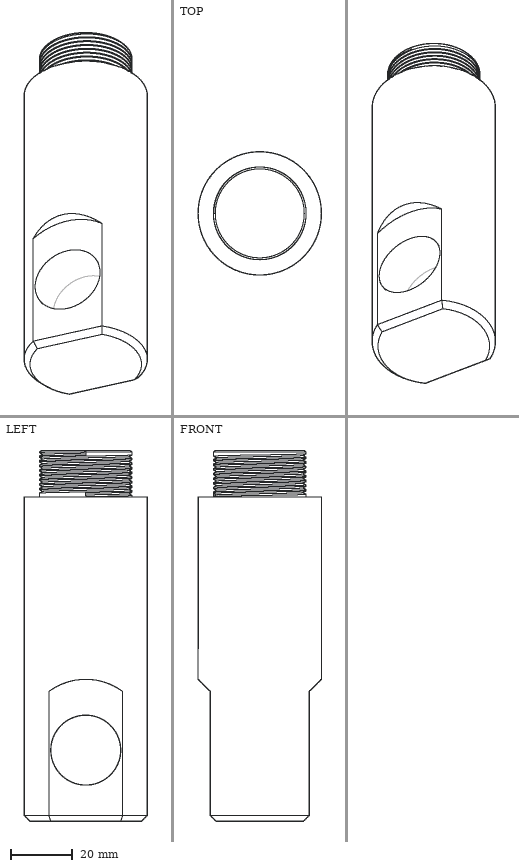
import cadquery as cq
import math

total_height = 120.0
body_diameter = 40.0
body_radius = body_diameter / 2

stud_height = 15.0
thread_diameter = 30.0
thread_pitch = 1.5
thread_depth = 1.0
thread_flank_angle = 60.0
stud_chamfer = 0.6
first_groove_height = 0.6
cutter_overlap = 0.1

flats_width = 32.0
flat_apex_height = 46.0
eye_diameter = 22.5
eye_height = 23.0
bottom_chamfer = 1.9

shoulder_height = total_height - stud_height
thread_radius = thread_diameter / 2


def make_body():
    """Cylinder with two opposite flats, round-topped, and a chamfered bottom edge."""
    body = cq.Workplane("XY").circle(body_radius).extrude(shoulder_height)
    half_flat = math.sqrt(body_radius**2 - (flats_width / 2) ** 2)
    arc_center_height = flat_apex_height - body_radius
    flat_corner_height = arc_center_height + flats_width / 2
    flat_depth = (body_diameter - flats_width) / 2
    flat_outline = (
        cq.Workplane("YZ", origin=(flats_width / 2, 0, 0))
        .moveTo(-half_flat, 0)
        .lineTo(-half_flat, flat_corner_height)
        .threePointArc((0, flat_apex_height), (half_flat, flat_corner_height))
        .lineTo(half_flat, 0)
        .close()
    )
    flat_cutter = flat_outline.extrude(flat_depth)
    for cutter in (flat_cutter, flat_cutter.mirror("YZ")):
        body = body.cut(cutter)
    return body.faces("<Z").chamfer(bottom_chamfer)


def make_eye():
    """Cross hole through both flats."""
    return (
        cq.Workplane("YZ")
        .center(0, eye_height)
        .circle(eye_diameter / 2)
        .extrude(body_radius, both=True)
    )


def make_thread_groove():
    """Right-hand V groove, starting at the -X side and ending near the stud chamfer."""
    groove_start = shoulder_height + first_groove_height
    half_mouth = (thread_depth + cutter_overlap) * math.tan(math.radians(thread_flank_angle / 2))
    root_radius = thread_radius - thread_depth
    mouth_radius = thread_radius + cutter_overlap
    path = cq.Wire.makeHelix(thread_pitch, stud_height - thread_pitch, root_radius)
    groove = (
        cq.Workplane("XZ")
        .moveTo(root_radius, 0)
        .lineTo(mouth_radius, half_mouth)
        .lineTo(mouth_radius, -half_mouth)
        .close()
        .sweep(cq.Workplane(path), isFrenet=True)
    )
    return groove.rotate((0, 0, 0), (0, 0, 1), 180).translate((0, 0, groove_start))


def make_stud():
    """Chamfered stud with a helical thread."""
    stud = (
        cq.Workplane("XY", origin=(0, 0, shoulder_height))
        .circle(thread_radius)
        .extrude(stud_height)
        .faces(">Z")
        .chamfer(stud_chamfer)
    )
    return stud.cut(make_thread_groove())


result = make_body().cut(make_eye()).union(make_stud())